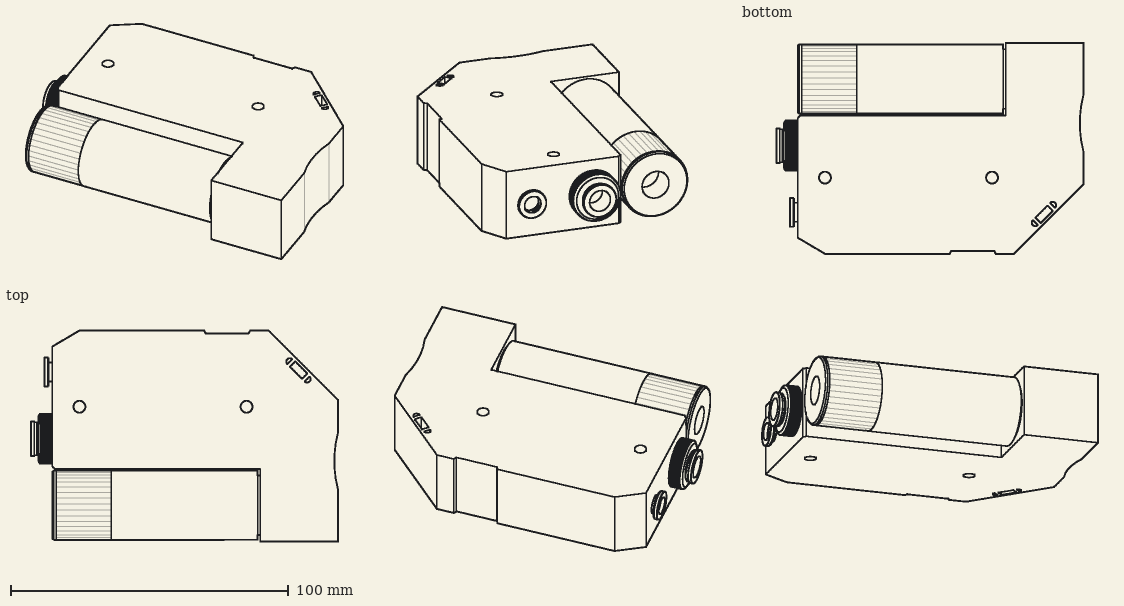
import cadquery as cq
import math


thickness = 26.1
body_length = 102.9
body_width = 76.1
foot_start = 74.8
arm_bottom = thickness
arm_corner_chamfer = 1.0
rear_chamfer_x = 10.0
rear_chamfer_y = 5.9
front_chamfer = 25.1

notch_start = 54.7
notch_end = 71.3
notch_depth = 1.1
notch_slope = 0.5

grip_center_y = 29.0
grip_chord = 20.3
grip_depth = 1.3

mount_diameter = 4.2
mount_y = 48.5
mount_xs = (9.8, 70.0)

window_length = 6.1
window_wall = 1.1
window_depth = 3.8
window_shift = 0.1
relief_radius = 1.2
relief_offset = 4.4

handle_y = arm_bottom / 2
handle_diameter = 25.0
handle_face_diameter = 24.0
handle_chamfer_length = 0.7
handle_end = 74.0
handle_neck_diameter = 21.6
handle_bore_diameter = 10.3
handle_bore_depth = 11.0
band_start = 1.4
band_end = 21.3
band_facets = 36
band_first_edge_angle = 7.5

large_y = 37.0
ring_diameter = 18.1
ring_face_diameter = 16.0
ring_length = 5.0
ring_chamfer_length = 0.7
knurl_teeth = 60
knurl_depth = 0.1
overall_length = 110.5
large_reach = overall_length - body_length
large_rim_diameter = 12.5
large_rim_back = 6.4
large_step_diameter = 11.9
large_step_back = 5.5
large_neck_diameter = 10.5
large_bore_diameter = 8.0
large_bore_depth = 8.5

small_y = 61.0
small_reach = 2.8
small_rim_diameter = 10.5
small_rim_back = 1.5
small_step_diameter = 10.0
small_step_back = 1.2
small_neck_diameter = 7.0
small_bore_diameter = 6.3
small_bore_depth = 2.8

rim_edge_break = 0.1
joint_overlap = 0.5


def revolve_about_x(profile, axis_y):
    """Turn a closed (x, radius) profile about the X-parallel line at axis_y."""
    half_section = cq.Workplane("XY").polyline(profile).close()
    return half_section.revolve(360, (0, 0, 0), (1, 0, 0)).translate((0, axis_y, 0))


def cylinder_x(x_start, x_end, diameter, axis_y):
    plane = cq.Workplane("YZ", origin=(x_start, axis_y, 0))
    return plane.circle(diameter / 2).extrude(x_end - x_start)


def prism_x(points, x_start, x_end, axis_y):
    plane = cq.Workplane("YZ", origin=(x_start, axis_y, 0))
    return plane.polyline(points).close().extrude(x_end - x_start)


def through_z(sketch_plane):
    """Extrude a closed sketch symmetrically over the whole thickness."""
    return sketch_plane.extrude(thickness / 2, both=True)


def polar(radius, degrees):
    angle = math.radians(degrees)
    return (radius * math.cos(angle), radius * math.sin(angle))


def make_body():
    grip_low = grip_center_y - grip_chord / 2
    grip_high = grip_center_y + grip_chord / 2
    outline = (
        cq.Workplane("XY")
        .moveTo(foot_start, 0)
        .lineTo(body_length, 0)
        .lineTo(body_length, grip_low)
        .threePointArc((body_length - grip_depth, grip_center_y), (body_length, grip_high))
        .lineTo(body_length, body_width - front_chamfer)
        .lineTo(body_length - front_chamfer, body_width)
        .lineTo(notch_end, body_width)
        .lineTo(notch_end - notch_slope, body_width - notch_depth)
        .lineTo(notch_start + notch_slope, body_width - notch_depth)
        .lineTo(notch_start, body_width)
        .lineTo(rear_chamfer_x, body_width)
        .lineTo(0, body_width - rear_chamfer_y)
        .lineTo(0, arm_bottom + arm_corner_chamfer)
        .lineTo(arm_corner_chamfer, arm_bottom)
        .lineTo(foot_start, arm_bottom)
        .close()
    )
    return through_z(outline)


def make_mount_holes():
    centers = [(x, mount_y) for x in mount_xs]
    return through_z(cq.Workplane("XY").pushPoints(centers).circle(mount_diameter / 2))


def make_window():
    """Cut in a frame whose x runs down the slope and whose y points out of it."""
    slope_middle = (body_length - front_chamfer / 2, body_width - front_chamfer / 2, 0)
    slope = cq.Plane(origin=slope_middle, xDir=(1, -1, 0), normal=(0, 0, 1))
    frame = cq.Workplane(slope).center(window_shift, -window_depth)
    half_length = window_length / 2
    window = through_z(
        frame.moveTo(-half_length, 0)
        .lineTo(half_length, 0)
        .lineTo(half_length, window_depth - window_wall)
        .lineTo(-half_length, window_depth - window_wall)
        .close()
    )
    for side in (-1, 1):
        inner_x = side * relief_offset
        outer_x = inner_x + side * relief_radius
        relief = through_z(
            frame.moveTo(inner_x, 0)
            .threePointArc((outer_x, relief_radius), (inner_x, 2 * relief_radius))
            .close()
        )
        window = window.union(relief)
    return window


def make_handle():
    face_radius = handle_face_diameter / 2
    radius = handle_diameter / 2
    neck_radius = handle_neck_diameter / 2
    neck_end = foot_start + joint_overlap
    handle = revolve_about_x(
        [
            (0, 0),
            (0, face_radius),
            (handle_chamfer_length, radius),
            (band_start, radius),
            (band_start, neck_radius),
            (band_end, neck_radius),
            (band_end, radius),
            (handle_end, radius),
            (handle_end, neck_radius),
            (neck_end, neck_radius),
            (neck_end, 0),
        ],
        handle_y,
    )
    pitch = 360 / band_facets
    corners = [polar(radius, band_first_edge_angle + i * pitch) for i in range(band_facets)]
    handle = handle.union(prism_x(corners, band_start, band_end, handle_y))
    return handle.cut(cylinder_x(0, handle_bore_depth, handle_bore_diameter, handle_y))


def make_knurled_ring():
    root_radius = ring_diameter / 2 - knurl_depth
    chamfer_back = ring_chamfer_length - ring_length
    pitch = 360 / knurl_teeth
    teeth = []
    for i in range(knurl_teeth):
        teeth.append(polar(ring_diameter / 2, i * pitch))
        teeth.append(polar(root_radius, (i + 0.5) * pitch))
    knurl = prism_x(teeth, chamfer_back, joint_overlap, large_y)
    nose = revolve_about_x(
        [
            (-ring_length, 0),
            (-ring_length, ring_face_diameter / 2),
            (chamfer_back, ring_diameter / 2),
            (chamfer_back, 0),
        ],
        large_y,
    )
    return knurl.union(nose)


def make_eyepiece(axis_y, reach, rim_diameter, rim_back, step_diameter, step_back, neck_diameter):
    """Stepped rim on a neck, sticking out of the rear face by reach."""
    rim_radius = rim_diameter / 2
    return revolve_about_x(
        [
            (-reach, 0),
            (-reach, rim_radius - rim_edge_break),
            (rim_edge_break - reach, rim_radius),
            (-rim_back, rim_radius),
            (-rim_back, step_diameter / 2),
            (-step_back, step_diameter / 2),
            (-step_back, neck_diameter / 2),
            (joint_overlap, neck_diameter / 2),
            (joint_overlap, 0),
        ],
        axis_y,
    )


large_eyepiece = make_eyepiece(
    large_y, large_reach, large_rim_diameter, large_rim_back,
    large_step_diameter, large_step_back, large_neck_diameter,
)
small_eyepiece = make_eyepiece(
    small_y, small_reach, small_rim_diameter, small_rim_back,
    small_step_diameter, small_step_back, small_neck_diameter,
)
large_bore = cylinder_x(-large_reach, large_bore_depth - large_reach, large_bore_diameter, large_y)
small_bore = cylinder_x(-small_reach, small_bore_depth - small_reach, small_bore_diameter, small_y)

result = (
    make_body()
    .cut(make_mount_holes())
    .cut(make_window())
    .union(make_handle())
    .union(make_knurled_ring())
    .union(large_eyepiece)
    .union(small_eyepiece)
    .cut(large_bore)
    .cut(small_bore)
)